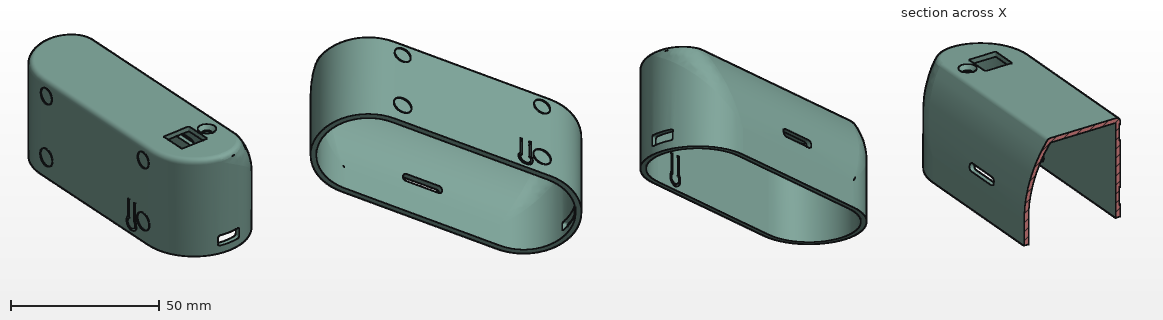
import cadquery as cq
import math

length = 98.0
depth = 39.0
height = 38.0
wall = 2.0
back_arc_start = 10.0
back_arc_radius = 45.1
back_blend_radius = 9.8
top_fillet = 2.0

recess_x = 26.5
recess_depth = 0.4
lower_recess_z = 7.9
lower_recess_radius = 3.3
upper_recess_z = 32.0
upper_recess_radius = 3.0

button_x = 20.2
button_z = 4.2
button_top = 12.9
button_slot = 0.8
button_radius = 2.0
button_stem_width = 2.5

window_x = 31.5
window_width = 10.1
window_depth = 10.9
window_y = -5.2
window_corner = 0.4
screw_x = 31.5
screw_y = 4.0
screw_hole_diameter = 3.2
screw_head_diameter = 6.3
screw_head_angle = 90.0

back_port_width = 14.8
back_port_height = 2.9
back_port_z = 15.7
back_port_corner = 1.4

end_port_width = 9.0
end_port_height = 4.0
end_port_z = 5.1
end_port_corner = 0.8


def shell_form(inset):
    """Solid form of the shell, with its sides and top moved inwards by inset."""
    half_depth = depth / 2 - inset
    top = height - inset
    arc_radius = back_arc_radius - inset
    arc_angle = math.asin((top - back_arc_start) / arc_radius)

    def arc_point(angle):
        y = half_depth - arc_radius * (1 - math.cos(angle))
        z = back_arc_start + arc_radius * math.sin(angle)
        return y, z

    overshoot_degrees = 5.0
    overshoot_angle = arc_angle + math.radians(overshoot_degrees)
    overshoot_top = arc_point(overshoot_angle)
    side_profile = (
        cq.Workplane("YZ", origin=(-length, 0, 0))
        .moveTo(-depth, -wall)
        .lineTo(half_depth, -wall)
        .lineTo(half_depth, back_arc_start)
        .threePointArc(arc_point(overshoot_angle / 2), overshoot_top)
        .lineTo(-depth, overshoot_top[1])
        .close()
        .extrude(2 * length)
    )
    stadium = cq.Workplane("XY").slot2D(length - 2 * inset, 2 * half_depth).extrude(top)

    seam_front_y, seam_top_z = arc_point(arc_angle)
    margin = 0.5
    seam_zone = cq.selectors.BoxSelector(
        (-length, seam_front_y + margin, back_arc_start + margin),
        (length, half_depth - margin, seam_top_z - margin),
    )
    return stadium.intersect(side_profile).edges(seam_zone).fillet(back_blend_radius - inset)


def front_disc(x, z, radius, thickness):
    """Disc sunk into the front face by the given thickness."""
    return cq.Workplane("XZ", origin=(x, -depth / 2, z)).circle(radius).extrude(-thickness)


def button_outline(radius, stem_width):
    """Front-wall prism of a round bulb with a straight stem rising from it."""
    bulb = front_disc(button_x, button_z, radius, wall)
    stem = cq.Workplane("XY").box(stem_width, wall, button_top - button_z, centered=(True, False, False))
    return bulb.union(stem.translate((button_x, -depth / 2, button_z)))


def rounded_port(plane, origin, width, opening_height, corner, reach):
    """Rounded rectangular prism that starts at origin and runs along the plane normal."""
    sketch = cq.Sketch().rect(width, opening_height).vertices().fillet(corner)
    return cq.Workplane(plane, origin=origin).placeSketch(sketch).extrude(reach)


outer = shell_form(0).faces(">Z").edges().fillet(top_fillet)
result = outer.cut(shell_form(wall))

for side in (-1, 1):
    result = result.cut(front_disc(side * recess_x, lower_recess_z, lower_recess_radius, recess_depth))
    result = result.cut(front_disc(side * recess_x, upper_recess_z, upper_recess_radius, recess_depth))

slot_outside = button_outline(button_radius + button_slot, button_stem_width + 2 * button_slot)
tongue = button_outline(button_radius, button_stem_width)
result = result.cut(slot_outside.cut(tongue))

window = rounded_port(
    "XY", (window_x, window_y, height - wall), window_width, window_depth, window_corner, wall
)
result = result.cut(window)
result = (
    result.faces(">Z")
    .workplane(origin=(screw_x, screw_y, height))
    .cskHole(screw_hole_diameter, screw_head_diameter, screw_head_angle, depth=wall)
)

port_reach = 2 * wall
back_port = rounded_port(
    "XZ",
    (0, depth / 2, back_port_z),
    back_port_width,
    back_port_height,
    back_port_corner,
    port_reach,
)
end_port = rounded_port(
    "YZ",
    (length / 2 - port_reach, 0, end_port_z),
    end_port_width,
    end_port_height,
    end_port_corner,
    port_reach,
)
result = result.cut(back_port).cut(end_port)